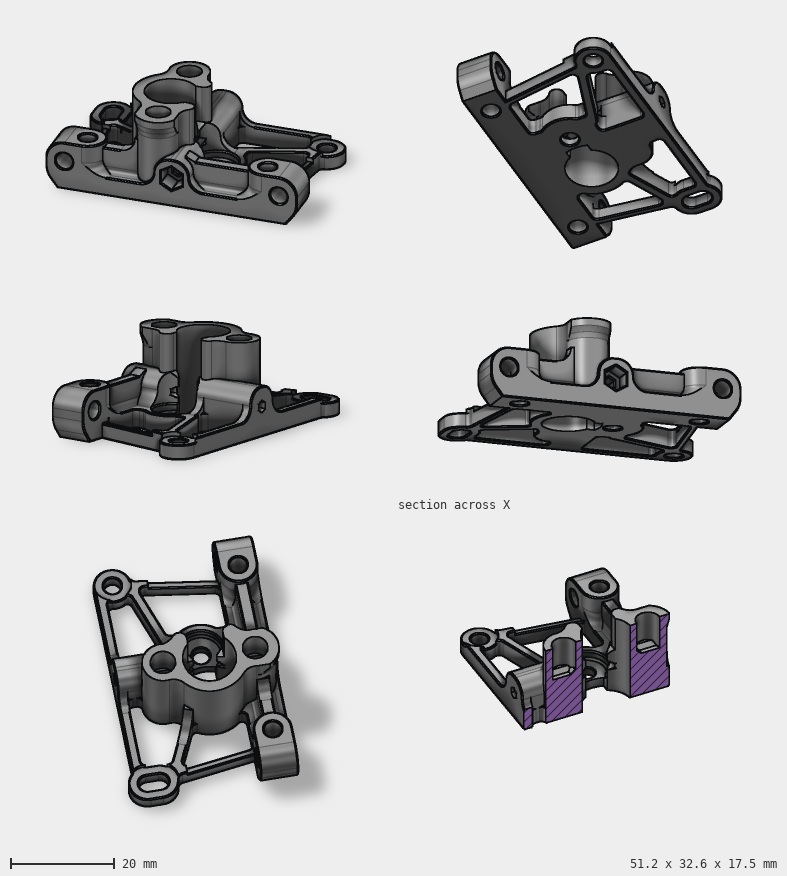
import cadquery as cq
import math

WIDTH = 51.24
DEPTH = 32.56
TOWER_TOP = 17.5
HALF_WIDTH = WIDTH / 2
EDGE_CHAMFER = 0.25
SCREW_HOLE_D = 3.4

LUG_TOP = 3.0
WEB_TOP = 3.9
RIB_TOP = 9.0
TUBE_TOP = 10.0

BAR_DEPTH = 7.5
BOSS_R = BAR_DEPTH / 2
BOSS_X = 18.37
BOSS_FOOT_R = 2.5
END_HOLE_X = HALF_WIDTH - BOSS_R
END_HOLE_Z = 6.0
END_BEVEL_HEIGHT = 3.0
END_BEVEL_WIDTH = 2.34
END_BEVEL_ROUND = 4.5

RIB_WIDTH = 2.5
RIB_FOOT_R = 1.2
RIB_FLARE_R = 3.0

LUG_R = 3.64
LUG_X = HALF_WIDTH - LUG_R
SLOT_OFFSET = 1.22
LUG_Y = DEPTH - LUG_R - SLOT_OFFSET

WEB_BAR_WIDTH = 1.9
STRUT_WIDTH = 1.4
WEB_CORNER_R = 1.0
OVERLAP = 0.03
RAIL_Y = LUG_Y + LUG_R - WEB_BAR_WIDTH / 2
LEFT_RIB_START = (-21.0, 23.48)
LEFT_RIB_END = (-8.0, 17.7)
LEFT_RIB_FLARE_R = 5.0
RIGHT_RIB_START = (6.5, 19.7)
RIGHT_RIB_END = (21.0, 24.46)
STRUT_TOP = (21.4, 25.0)
STRUT_RISE_Y = 21.0
STRUT_FOOT = (18.7, 7.0)

TOWER_Y = 13.62
BORE_X = -4.83
BORE_R = 5.15
TOWER_R = 7.43
LOBE_X = -4.28
LOBE_PITCH = 18.04
LOBE_R = 4.03
LOBE_HOLE_D = 4.85
LOBE_HOLE_FLOOR = TUBE_TOP
LOBE_HOLE_LEDGE_X = -3.4
LOBE_HOLE_LEDGE_OFFSET = 7.6
LOBE_LEDGE_RISE = 0.9
TOWER_BLEND_R = 3.0
MOUTH_HALF_WIDTH = 3.53
TIP_X = 0.15
TIP_R = 1.47
THROAT_HALF_WIDTH = 2.28
THROAT_RELIEF_R = 6.6

LIP_BOTTOM = 13.8
LIP_BEVEL_BOTTOM = 14.9
LIP_BEVEL_TOP = 16.1
LIP_BEVEL_R = 4.25

TUBE_HALF_WIDTH = 3.6
TUBE_R = 3.2
NUT_FLATS = 4.3
NUT_DEPTH = 4.0
CORE_FLATS = 2.1
CORE_CHAMFER = 0.3

SEAT_X = 4.3
SEAT_R = 4.4
SEAT_RIM_CHAMFER = 0.3
SEAT_FLOOR = 2.0
SEAT_FLOOR_BEVEL = 0.45
SEAT_WALL_R = 5.95
SEAT_PAD_X = 8.85
SEAT_PAD_Y = 20.0


def box(x0, x1, y0, y1, z0, z1):
    return cq.Workplane("XY").box(x1 - x0, y1 - y0, z1 - z0, centered=False).translate((x0, y0, z0))


def cylinder(x, y, radius, z0, z1):
    return cq.Workplane("XY", origin=(x, y, z0)).circle(radius).extrude(z1 - z0)


def bar(start, end, width, height):
    """Straight bar on z = 0 between two plan points."""
    dx = end[0] - start[0]
    dy = end[1] - start[1]
    blank = cq.Workplane("XY").rect(math.hypot(dx, dy), width).extrude(height)
    blank = blank.rotate((0, 0, 0), (0, 0, 1), math.degrees(math.atan2(dy, dx)))
    return blank.translate(((start[0] + end[0]) / 2, (start[1] + end[1]) / 2, 0))


def front_profile(y):
    """XZ sketch plane at the given y; negative extrusions run toward +Y."""
    return cq.Workplane("XZ", origin=(0, y, 0))


def closed_corners(wire, offset):
    """Offset a wire there and back to round its corners, redrawn as plain lines and arcs."""
    rounded = wire.offset2D(offset)[0].offset2D(-offset)[0]
    edges = []
    for edge in rounded.Edges():
        start = edge.startPoint()
        end = edge.endPoint()
        if edge.geomType() == "LINE":
            edges.append(cq.Edge.makeLine(start, end))
        else:
            edges.append(cq.Edge.makeThreePointArc(start, edge.positionAt(0.5), end))
    return cq.Wire.assembleEdges(edges)


def rounded_plan(solid, radius):
    """Outer wire and window wires of a prism's foot, with the concave corners rounded."""
    face = solid.faces("<Z").val()
    outer = closed_corners(face.outerWire(), radius)
    windows = [closed_corners(window, -radius) for window in face.innerWires()]
    return outer, windows


def prism(outline, height):
    outer, windows = outline
    return cq.Workplane(obj=cq.Solid.extrudeLinear(outer, windows, cq.Vector(0, 0, height)))


def chamfered_hole(x, y, z0, z1, diameter):
    """Through-hole cutter along Z with a chamfer at both mouths."""
    radius = diameter / 2
    wide = radius + EDGE_CHAMFER
    profile = [
        (0, z0),
        (wide, z0),
        (radius, z0 + EDGE_CHAMFER),
        (radius, z1 - EDGE_CHAMFER),
        (wide, z1),
        (0, z1),
    ]
    return cq.Workplane("XZ").polyline(profile).close().revolve(360, (0, 0), (0, 1)).translate((x, y, 0))


def lug_blanks(height, radius):
    right = cylinder(LUG_X, LUG_Y, radius, 0, height)
    left = cq.Workplane("XY").center(-LUG_X, LUG_Y).slot2D(2 * (radius + SLOT_OFFSET), 2 * radius, 90)
    left = left.extrude(height)
    return right.union(left)


def tower_outline():
    """Ring with two screw lobes, open toward +X between two rounded tips."""
    tip_offset = MOUTH_HALF_WIDTH + TIP_R
    blank = cylinder(BORE_X, TOWER_Y, TOWER_R, 0, TOWER_TOP)
    blank = blank.cut(box(BORE_X, TOWER_R, TOWER_Y - MOUTH_HALF_WIDTH, TOWER_Y + MOUTH_HALF_WIDTH, 0, TOWER_TOP))
    blank = blank.cut(box(TIP_X, TOWER_R, TOWER_Y - tip_offset, TOWER_Y + tip_offset, 0, TOWER_TOP))
    for side in (-1, 1):
        blank = blank.union(cylinder(LOBE_X, TOWER_Y + side * LOBE_PITCH / 2, LOBE_R, 0, TOWER_TOP))
        blank = blank.union(cylinder(TIP_X, TOWER_Y + side * tip_offset, TIP_R, 0, TOWER_TOP))
    return rounded_plan(blank, TOWER_BLEND_R)


def web_outline():
    """Plan of the web: bar, lugs, rails, ribs, struts and the footings of tower, seat and tube."""
    h = 1.0
    web = box(-BOSS_X, BOSS_X, 0, BAR_DEPTH, 0, h)
    web = web.union(lug_blanks(h, LUG_R))
    web = web.union(cylinder(BORE_X, TOWER_Y, TOWER_R - OVERLAP, 0, h))
    for side in (-1, 1):
        lobe_y = TOWER_Y + side * LOBE_PITCH / 2
        web = web.union(cylinder(LOBE_X, lobe_y, LOBE_R - OVERLAP, 0, h))
    web = web.union(cylinder(SEAT_X, TOWER_Y, SEAT_WALL_R, 0, h))
    web = web.union(box(0, SEAT_PAD_X, BAR_DEPTH / 2, SEAT_PAD_Y, 0, h))
    web = web.union(box(-TUBE_HALF_WIDTH, TUBE_HALF_WIDTH, 0, LUG_Y + LUG_R, 0, h))
    web = web.union(bar((-LUG_X, RAIL_Y), (LUG_X, RAIL_Y), WEB_BAR_WIDTH, h))
    web = web.union(bar(LEFT_RIB_START, LEFT_RIB_END, WEB_BAR_WIDTH, h))
    web = web.union(bar(RIGHT_RIB_START, RIGHT_RIB_END, WEB_BAR_WIDTH, h))
    for side in (-1, 1):
        top = (side * STRUT_TOP[0], STRUT_TOP[1])
        foot = (side * STRUT_FOOT[0], STRUT_FOOT[1])
        web = web.union(bar(top, foot, STRUT_WIDTH, h))
    return rounded_plan(web, WEB_CORNER_R)


def plates():
    """Web with its lugs and outer struts stepped down below the ribs."""
    plan = web_outline()
    low = prism(plan, LUG_TOP).faces("<Z or >Z").edges().chamfer(EDGE_CHAMFER)
    high = prism(plan, WEB_TOP).faces("<Z or >Z").edges().chamfer(EDGE_CHAMFER)
    low_zone = lug_blanks(WEB_TOP, LUG_R + OVERLAP)
    strut_inside = STRUT_FOOT[0] - 1.2
    for x0, x1 in ((-HALF_WIDTH, -strut_inside), (strut_inside, HALF_WIDTH)):
        low_zone = low_zone.union(box(x0, x1, BAR_DEPTH, STRUT_RISE_Y, 0, WEB_TOP))
    return high.cut(low_zone).union(low.intersect(low_zone))


def end_block(side):
    """Bar end: boss around a vertical hole, rounded outer top, bevelled outer bottom."""
    outline = (
        cq.Workplane("XZ")
        .moveTo(BOSS_X - BOSS_R, 0)
        .lineTo(HALF_WIDTH - END_BEVEL_WIDTH, 0)
        .lineTo(HALF_WIDTH, END_BEVEL_HEIGHT)
        .lineTo(HALF_WIDTH, TUBE_TOP - BOSS_R)
        .radiusArc((HALF_WIDTH - BOSS_R, TUBE_TOP), -BOSS_R)
        .lineTo(BOSS_X - BOSS_R, TUBE_TOP)
        .close()
        .extrude(-BAR_DEPTH)
    )
    corner = (HALF_WIDTH, BAR_DEPTH / 2, END_BEVEL_HEIGHT)
    outline = outline.edges(cq.selectors.NearestToPointSelector(corner)).fillet(END_BEVEL_ROUND)
    outline = outline.faces("<Y or >Y").edges().chamfer(EDGE_CHAMFER)
    boss = (
        cq.Workplane("XY")
        .moveTo(HALF_WIDTH, 0)
        .lineTo(BOSS_X, 0)
        .threePointArc((BOSS_X - BOSS_R, BOSS_R), (BOSS_X, BAR_DEPTH))
        .lineTo(HALF_WIDTH, BAR_DEPTH)
        .close()
        .extrude(TUBE_TOP)
    )
    block = outline.intersect(boss.faces(">Z").edges().chamfer(EDGE_CHAMFER))
    foot_r = BOSS_R + BOSS_FOOT_R
    foot = (
        cq.Workplane("XZ")
        .moveTo(0, WEB_TOP - EDGE_CHAMFER)
        .lineTo(foot_r, WEB_TOP - EDGE_CHAMFER)
        .lineTo(foot_r, WEB_TOP)
        .radiusArc((BOSS_R, WEB_TOP + BOSS_FOOT_R), BOSS_FOOT_R)
        .lineTo(0, WEB_TOP + BOSS_FOOT_R)
        .close()
        .revolve(360, (0, 0), (0, 1))
        .translate((BOSS_X, BOSS_R, 0))
    )
    foot = foot.intersect(box(0, HALF_WIDTH - BOSS_R, 0, BAR_DEPTH, 0, TUBE_TOP))
    block = block.union(foot)
    return block if side > 0 else block.mirror("YZ")


def bar_rib():
    """Rib between the bosses with rounded feet, swept up to the tower and ramped up to the tube."""
    half = RIB_WIDTH / 2
    centre = BAR_DEPTH / 2
    rib = (
        cq.Workplane("YZ", origin=(-BOSS_X, centre, 0))
        .moveTo(-half - RIB_FOOT_R, WEB_TOP - EDGE_CHAMFER)
        .lineTo(-half - RIB_FOOT_R, WEB_TOP)
        .radiusArc((-half, WEB_TOP + RIB_FOOT_R), -RIB_FOOT_R)
        .lineTo(-half, RIB_TOP - EDGE_CHAMFER)
        .lineTo(-half + EDGE_CHAMFER, RIB_TOP)
        .lineTo(half - EDGE_CHAMFER, RIB_TOP)
        .lineTo(half, RIB_TOP - EDGE_CHAMFER)
        .lineTo(half, WEB_TOP + RIB_FOOT_R)
        .radiusArc((half + RIB_FOOT_R, WEB_TOP), -RIB_FOOT_R)
        .lineTo(half + RIB_FOOT_R, WEB_TOP - EDGE_CHAMFER)
        .close()
        .extrude(2 * BOSS_X)
    )
    tower_side = LOBE_X - LOBE_R
    flare = (
        front_profile(centre - half)
        .moveTo(tower_side - RIB_FLARE_R, RIB_TOP)
        .radiusArc((tower_side, RIB_TOP + RIB_FLARE_R), -RIB_FLARE_R)
        .lineTo(LOBE_X, RIB_TOP + RIB_FLARE_R)
        .lineTo(LOBE_X, RIB_TOP - 1)
        .lineTo(tower_side - RIB_FLARE_R, RIB_TOP - 1)
        .close()
        .extrude(-RIB_WIDTH)
    )
    ramp = (
        front_profile(centre - half)
        .polyline([(2.0, TUBE_TOP), (4.0, RIB_TOP), (4.0, RIB_TOP - 1), (2.0, RIB_TOP - 1)])
        .close()
        .extrude(-RIB_WIDTH)
    )
    return rib.union(flare).union(ramp)


def tube():
    """Arched tube whose sides sweep out onto the web through concave rounds."""
    spring = TUBE_TOP - TUBE_R
    sweep = spring - WEB_TOP
    foot = TUBE_HALF_WIDTH + sweep
    crown = TUBE_HALF_WIDTH - TUBE_R
    base = EDGE_CHAMFER
    body = (
        cq.Workplane("XZ")
        .moveTo(-foot, base)
        .lineTo(-foot, WEB_TOP)
        .radiusArc((-TUBE_HALF_WIDTH, spring), -sweep)
        .radiusArc((-crown, TUBE_TOP), TUBE_R)
        .lineTo(crown, TUBE_TOP)
        .radiusArc((TUBE_HALF_WIDTH, spring), TUBE_R)
        .radiusArc((foot, WEB_TOP), -sweep)
        .lineTo(foot, base)
        .close()
        .extrude(-(LUG_Y + LUG_R))
    )
    body = body.faces("<Y or >Y").edges().chamfer(EDGE_CHAMFER)
    for x0, x1 in ((-foot, -TUBE_HALF_WIDTH), (TUBE_HALF_WIDTH, foot)):
        body = body.cut(box(x0, x1, SEAT_PAD_Y, RAIL_Y - WEB_BAR_WIDTH / 2, 0, TUBE_TOP))
    return body


def tower():
    """Tower body with the lip that thickens the top of its front lobe."""
    body = prism(tower_outline(), TOWER_TOP).faces("<Z").edges().chamfer(EDGE_CHAMFER)
    lobe_y = TOWER_Y - LOBE_PITCH / 2
    lip = (
        cq.Workplane("XZ")
        .moveTo(0, LIP_BOTTOM)
        .lineTo(LOBE_R, LIP_BOTTOM)
        .lineTo(LIP_BEVEL_R, LIP_BEVEL_BOTTOM)
        .lineTo(lobe_y, LIP_BEVEL_TOP)
        .lineTo(lobe_y, TOWER_TOP)
        .lineTo(0, TOWER_TOP)
        .close()
        .revolve(360, (0, 0), (0, 1))
        .translate((LOBE_X, lobe_y, 0))
    )
    lip = lip.intersect(box(LOBE_X - LOBE_R, LOBE_X + LOBE_R, 0, lobe_y, 0, TOWER_TOP))
    return body.union(lip)


def left_rib_flare():
    """Concave sweep of the left diagonal rib up the tower wall."""
    dx = LEFT_RIB_END[0] - LEFT_RIB_START[0]
    dy = LEFT_RIB_END[1] - LEFT_RIB_START[1]
    length = math.hypot(dx, dy)
    angle = math.degrees(math.atan2(dy, dx))
    foot = 6.3
    sweep = (
        cq.Workplane("XZ")
        .moveTo(foot, WEB_TOP)
        .radiusArc((foot + LEFT_RIB_FLARE_R, WEB_TOP + LEFT_RIB_FLARE_R), -LEFT_RIB_FLARE_R)
        .lineTo(length, WEB_TOP + LEFT_RIB_FLARE_R)
        .lineTo(length, EDGE_CHAMFER)
        .lineTo(foot, EDGE_CHAMFER)
        .close()
        .extrude(WEB_BAR_WIDTH / 2, both=True)
    )
    return sweep.rotate((0, 0, 0), (0, 0, 1), angle).translate((*LEFT_RIB_START, 0))


def bore_and_throat():
    """Large bore and the narrower throat that opens it toward the seat."""
    bore = cylinder(BORE_X, TOWER_Y, BORE_R, 0, TOWER_TOP)
    step = MOUTH_HALF_WIDTH - THROAT_HALF_WIDTH
    throat_section = [
        (-THROAT_HALF_WIDTH, 0),
        (-THROAT_HALF_WIDTH, TUBE_TOP - step),
        (-MOUTH_HALF_WIDTH, TUBE_TOP),
        (MOUTH_HALF_WIDTH, TUBE_TOP),
        (THROAT_HALF_WIDTH, TUBE_TOP - step),
        (THROAT_HALF_WIDTH, 0),
    ]
    throat = cq.Workplane("YZ", origin=(BORE_X, TOWER_Y, 0)).polyline(throat_section).close().extrude(TOWER_R)
    relief = cylinder(BORE_X, TOWER_Y, THROAT_RELIEF_R, 0, TUBE_TOP)
    return bore.union(throat.intersect(relief))


def seat_cutter():
    """Round pocket with a bevelled floor and rim, and the screw hole through its floor."""
    floor_r = SEAT_R - SEAT_FLOOR_BEVEL
    rim_r = SEAT_R + SEAT_RIM_CHAMFER
    profile = [
        (0, SEAT_FLOOR),
        (floor_r, SEAT_FLOOR),
        (SEAT_R, SEAT_FLOOR + SEAT_FLOOR_BEVEL),
        (SEAT_R, WEB_TOP - SEAT_RIM_CHAMFER),
        (rim_r, WEB_TOP),
        (rim_r, TUBE_TOP),
        (0, TUBE_TOP),
    ]
    seat = cq.Workplane("XZ").polyline(profile).close().revolve(360, (0, 0), (0, 1))
    seat = seat.translate((SEAT_X, TOWER_Y, 0))
    return seat.union(chamfered_hole(SEAT_X, TOWER_Y, 0, SEAT_FLOOR, SCREW_HOLE_D))


def lobe_hole(side):
    """Blind hole whose floor rises in ledges toward the tube and toward the bore."""
    y = TOWER_Y + side * LOBE_PITCH / 2
    hole = cylinder(LOBE_X, y, LOBE_HOLE_D / 2, LOBE_HOLE_FLOOR, TOWER_TOP)
    rise = LOBE_LEDGE_RISE
    ledge = [(0, 0), (rise, rise), (LOBE_HOLE_D, rise), (LOBE_HOLE_D, 0)]
    tube_ledge = cq.Workplane("XZ").polyline(ledge).close().extrude(LOBE_HOLE_D, both=True)
    tube_ledge = tube_ledge.translate((LOBE_HOLE_LEDGE_X, y, LOBE_HOLE_FLOOR))
    bore_ledge = cq.Workplane("YZ").polyline([(-side * v, w) for v, w in ledge]).close()
    bore_ledge = bore_ledge.extrude(LOBE_HOLE_D, both=True)
    bore_ledge = bore_ledge.translate((LOBE_X, TOWER_Y + side * LOBE_HOLE_LEDGE_OFFSET, LOBE_HOLE_FLOOR))
    return hole.cut(tube_ledge).cut(bore_ledge)


def hex_prism(flats, y, depth, chamfer):
    """Hexagonal cutter along Y with upright flats and a flared mouth at y."""
    corner_d = flats / math.cos(math.pi / 6)
    mouth_d = (flats + 2 * chamfer) / math.cos(math.pi / 6)
    plane = cq.Workplane("XZ", origin=(0, y, END_HOLE_Z)).transformed(rotate=(0, 0, 90))
    shank = plane.polygon(6, corner_d).extrude(-depth)
    mouth = plane.polygon(6, mouth_d).workplane(offset=-chamfer).polygon(6, corner_d).loft(combine=True)
    return shank.union(mouth)


def end_hole(x):
    hole = chamfered_hole(0, 0, 0, BAR_DEPTH, SCREW_HOLE_D)
    return hole.rotate((0, 0, 0), (1, 0, 0), -90).translate((x, 0, END_HOLE_Z))


def slot_cutter():
    """Slotted hole of the left lug with a chamfer at both mouths."""
    d = SCREW_HOLE_D
    c = EDGE_CHAMFER
    plane = cq.Workplane("XY").center(-LUG_X, LUG_Y)
    slot = plane.slot2D(d + 2 * SLOT_OFFSET, d, 90).extrude(LUG_TOP)
    wide = plane.slot2D(d + 2 * c + 2 * SLOT_OFFSET, d + 2 * c, 90)
    mouth = wide.extrude(c, taper=45)
    return slot.union(mouth).union(mouth.mirror("XY").translate((0, 0, LUG_TOP)))


upper = tower().union(tube())
result = plates().union(upper).union(bar_rib()).union(left_rib_flare())
for end in (-1, 1):
    result = result.union(end_block(end))

result = result.cut(bore_and_throat()).cut(seat_cutter())
for end in (-1, 1):
    result = result.cut(lobe_hole(end))
    result = result.cut(chamfered_hole(end * BOSS_X, BOSS_R, 0, TUBE_TOP, SCREW_HOLE_D))
    result = result.cut(end_hole(end * END_HOLE_X))
result = result.cut(chamfered_hole(LUG_X, LUG_Y, 0, LUG_TOP, SCREW_HOLE_D)).cut(slot_cutter())
result = result.cut(hex_prism(NUT_FLATS, 0, NUT_DEPTH, EDGE_CHAMFER))
result = result.cut(hex_prism(CORE_FLATS, NUT_DEPTH, DEPTH, CORE_CHAMFER))